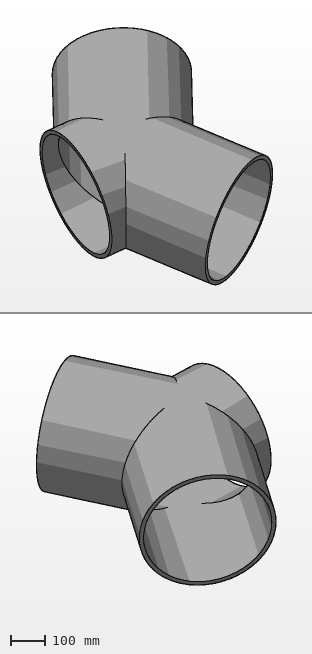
import cadquery as cq
import math

outer_diameter = 406.5
bore_diameter = 381.0
overall_width = 863.0
overall_depth = 532.0

arm_angle = 30.0
stub_angle = -90.0

outer_radius = outer_diameter / 2
arm_sin = math.sin(math.radians(arm_angle))
arm_cos = math.cos(math.radians(arm_angle))
arm_length = (overall_width / 2 - outer_radius * arm_sin) / arm_cos
arm_reach_y = arm_length * arm_sin + outer_radius * arm_cos
stub_length = overall_depth - arm_reach_y

bore_overrun = 43.0

branches = [
    (arm_angle, arm_length),
    (180.0 - arm_angle, arm_length),
    (stub_angle, stub_length),
]


def branch_cylinder(angle, length, diameter):
    """Cylinder running from the origin outwards in the XY plane at the given angle."""
    direction = cq.Vector(math.cos(math.radians(angle)), math.sin(math.radians(angle)), 0)
    return cq.Workplane(obj=cq.Solid.makeCylinder(diameter / 2, length, cq.Vector(), direction))


def junction(diameter, overrun=0):
    """Three cylinders of one diameter joined at the origin, each lengthened by the overrun."""
    body = cq.Workplane()
    for angle, length in branches:
        body = body.add(branch_cylinder(angle, length + overrun, diameter))
    return body.combine()


result = junction(outer_diameter).cut(junction(bore_diameter, bore_overrun))